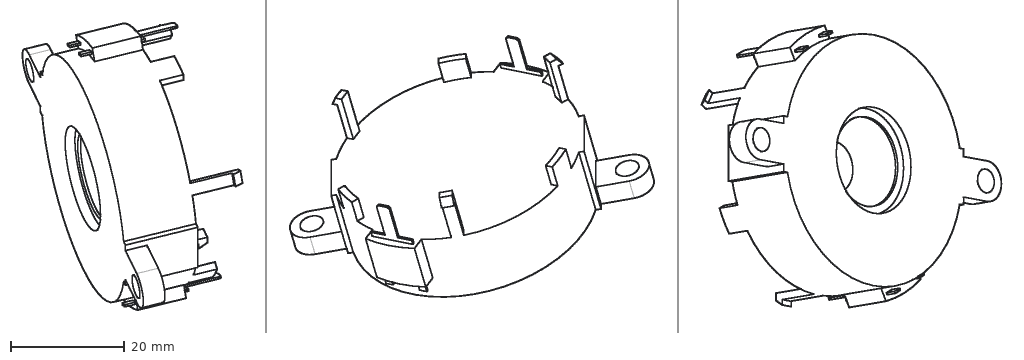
import cadquery as cq


body_radius = 22.5
body_depth = 13.5
rim_wall = 1.35
rim_inner_radius = body_radius - rim_wall

shoulder_span = 45.75
shoulder_height = 10.0
ear_span = 65.0
ear_width = 7.3
ear_thickness = 4.0
ear_hole_spacing = 57.1
ear_hole_diameter = 4.2

counterbore_radius = 9.5
counterbore_depth = 1.8
lip_radius = 8.0
lip_thickness = 0.5
chamber_radius = 16.5
chamber_floor_radius = 4.5
chamber_floor_depth = 9.4

post_angles = (90, 210, 330)
post_width = 4.95
post_end = 17.95
clip_angles = (30, 150, 270)
clip_width = 2.3
clip_end = 22.9
hook_length = 1.6
hook_overhang = 1.0

pad_angles = (120, 300)
pad_radius = 24.95
pad_width = 10.2
pad_depth = 9.05
pad_front = body_depth - pad_depth

terminal_distance = 23.35
terminal_thickness = 0.4
terminal_width = 8.5
terminal_step = 0.9
pin_width = 2.65
pin_end = 21.45
pin_chamfer = 0.4
tab_width = 1.5
tab_length = 2.0
tab_offset = (terminal_width - tab_width) / 2


def at_angle(solid, angle):
    """Turn a solid built along +X to an angle measured from +X towards +Z."""
    return solid.rotate((0, 0, 0), (0, -1, 0), angle)


def revolved(profile):
    """Revolve a closed (radius, Y) profile about the housing axis."""
    return cq.Workplane("XY").polyline(profile).close().revolve(360, (0, 0, 0), (0, 1, 0))


def ring_piece(profile, width, angle):
    """Parallel-sided piece of a revolved profile, centred on an angle."""
    reach = 2 * pad_radius
    strip = cq.Workplane("XY").box(reach, reach, width, centered=(False, True, True))
    return revolved(profile).intersect(at_angle(strip, angle))


def rectangle(inner_radius, outer_radius, front, rear):
    return [(inner_radius, front), (outer_radius, front), (outer_radius, rear), (inner_radius, rear)]


def disc(radius, depth):
    return cq.Workplane("XZ").circle(radius).extrude(-depth)


def make_body():
    shoulders = cq.Workplane("XZ").rect(shoulder_span, shoulder_height).extrude(-body_depth)
    ears = cq.Workplane("XZ").slot2D(ear_span, ear_width).extrude(-ear_thickness)
    ear_holes = (
        cq.Workplane("XZ")
        .pushPoints([(-ear_hole_spacing / 2, 0), (ear_hole_spacing / 2, 0)])
        .circle(ear_hole_diameter / 2)
        .extrude(-ear_thickness)
    )
    return disc(body_radius, body_depth).union(shoulders).union(ears.cut(ear_holes))


def make_opening():
    lip_rear = counterbore_depth + lip_thickness
    return revolved([
        (0, 0),
        (counterbore_radius, 0),
        (counterbore_radius, counterbore_depth),
        (lip_radius, counterbore_depth),
        (lip_radius, lip_rear),
        (chamber_radius, lip_rear),
        (chamber_floor_radius, chamber_floor_depth),
        (0, chamber_floor_depth),
    ])


def make_post(angle):
    profile = rectangle(rim_inner_radius, body_radius, body_depth, post_end)
    return ring_piece(profile, post_width, angle)


def make_clip(angle):
    hook_start = clip_end - hook_length
    profile = [
        (rim_inner_radius, body_depth),
        (body_radius, body_depth),
        (body_radius, hook_start),
        (body_radius + hook_overhang, hook_start),
        (body_radius, clip_end),
        (rim_inner_radius, clip_end),
    ]
    return ring_piece(profile, clip_width, angle)


def make_pad(angle):
    return ring_piece(rectangle(rim_inner_radius, pad_radius, pad_front, body_depth), pad_width, angle)


def make_terminal(angle):
    """Flat strip with two front tabs, a wide shoulder and one chamfered pin at the rear."""

    def strip(width, front, rear, offset=0.0):
        return (
            cq.Workplane("XY")
            .box(terminal_thickness, rear - front, width, centered=(True, False, True))
            .translate((terminal_distance, front, offset))
        )

    pin = strip(pin_width, body_depth, pin_end).edges(">Y and |X").chamfer(pin_chamfer)
    terminal = strip(terminal_width, pad_front, body_depth + terminal_step).union(pin)
    for offset in (-tab_offset, tab_offset):
        terminal = terminal.union(strip(tab_width, pad_front - tab_length, pad_front, offset))
    return at_angle(terminal, angle)


result = make_body().cut(make_opening())
for post_angle in post_angles:
    result = result.union(make_post(post_angle))
for clip_angle in clip_angles:
    result = result.union(make_clip(clip_angle))
for pad_angle in pad_angles:
    result = result.union(make_pad(pad_angle)).union(make_terminal(pad_angle))